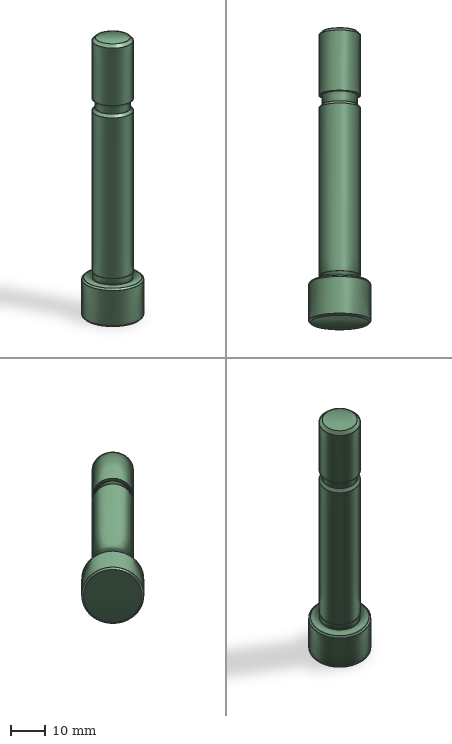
import cadquery as cq

total_length = 87.0
head_diameter = 18.0
head_height = 12.0
head_chamfer = 0.5
shank_diameter = 12.0
tip_chamfer = 1.0

relief_diameter = 11.8
relief_length = 2.0

groove_diameter = 10.3
groove_top_from_tip = 19.0
groove_floor_length = 3.0
groove_chamfer = (shank_diameter - groove_diameter) / 2


def cylinder(diameter, bottom, top):
    """Solid cylinder on the Z axis between two heights."""
    return cq.Workplane("XY").workplane(offset=bottom).circle(diameter / 2).extrude(top - bottom)


relief_top = head_height + relief_length
groove_top = total_length - groove_top_from_tip
groove_floor_bottom = groove_top - groove_floor_length

head = cylinder(head_diameter, 0, head_height).edges().chamfer(head_chamfer)
relief = cylinder(relief_diameter, head_height, relief_top)
shank = cylinder(shank_diameter, relief_top, groove_floor_bottom).faces(">Z").chamfer(groove_chamfer)
groove_core = cylinder(groove_diameter, groove_floor_bottom, groove_top)
tip = cylinder(shank_diameter, groove_top, total_length).faces(">Z").chamfer(tip_chamfer)

result = head.union(relief).union(shank).union(groove_core).union(tip)